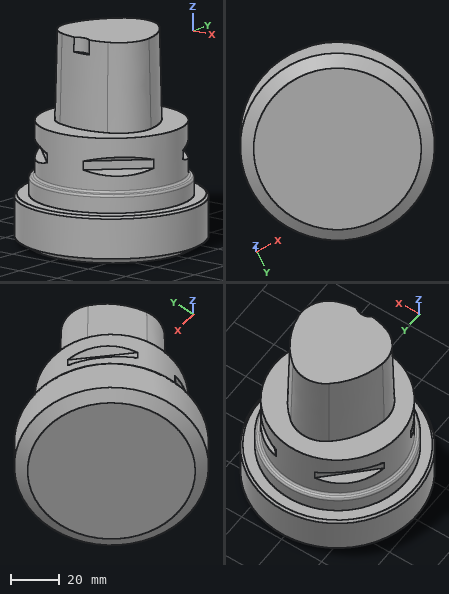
import cadquery as cq
import math

total_height = 90.0
flange_height = 21.0
neck_bottom_height = 30.0
shoulder_height = 52.0

flange_diameter = 79.7
flange_top_chamfer = 1.0
flange_bottom_chamfer_width = 5.5
flange_bottom_chamfer_angle = 30.0

collar_diameter = 68.0
collar_top_slope = 15.0
blend_radius = 1.0

neck_diameter = 63.0
slot_count = 4
slot_first_angle = 45.0
slot_center_height = 40.0
slot_depth = 3.5
slot_mouth_height = 8.0
slot_floor_height = 3.7

lobe_count = 3
shank_apex_reach = 23.4
shank_flat_reach = 20.5
lobe_radius = 15.0
shank_taper_ratio = 1 / 40

notch_radius = 6.0
notch_reach = 17.8
notch_depth = 6.2


def polar(radius, angle):
    """Point at the given radius and angle in degrees."""
    return (radius * math.cos(math.radians(angle)), radius * math.sin(math.radians(angle)))


def make_turned_body():
    """Flange, collar and neck as one revolved profile."""
    flange_r = flange_diameter / 2
    collar_r = collar_diameter / 2
    neck_r = neck_diameter / 2
    bottom_rise = flange_bottom_chamfer_width * math.tan(math.radians(flange_bottom_chamfer_angle))

    hollow_center = (neck_r + blend_radius, neck_bottom_height)
    round_center_r = collar_r - blend_radius

    def hollow_point(angle):
        dx, dz = polar(blend_radius, angle)
        return (hollow_center[0] + dx, hollow_center[1] + dz)

    cone_top = hollow_point(270 - collar_top_slope)
    cone_end_r = round_center_r + blend_radius * math.sin(math.radians(collar_top_slope))
    cone_drop = (cone_end_r - cone_top[0]) * math.tan(math.radians(collar_top_slope))
    cone_end = (cone_end_r, cone_top[1] - cone_drop)
    round_center_z = cone_end[1] - blend_radius * math.cos(math.radians(collar_top_slope))

    round_mid = polar(blend_radius, (90 - collar_top_slope) / 2)
    hollow_mid_angle = (180 + 270 - collar_top_slope) / 2

    profile = (
        cq.Workplane("XZ")
        .moveTo(0, 0)
        .lineTo(flange_r - flange_bottom_chamfer_width, 0)
        .lineTo(flange_r, bottom_rise)
        .lineTo(flange_r, flange_height - flange_top_chamfer)
        .lineTo(flange_r - flange_top_chamfer, flange_height)
        .lineTo(collar_r, flange_height)
        .lineTo(collar_r, round_center_z)
        .threePointArc((round_center_r + round_mid[0], round_center_z + round_mid[1]), cone_end)
        .lineTo(*cone_top)
        .threePointArc(hollow_point(hollow_mid_angle), (neck_r, neck_bottom_height))
        .lineTo(neck_r, shoulder_height)
        .lineTo(0, shoulder_height)
        .close()
    )
    return profile.revolve(360, (0, 0, 0), (0, 1, 0))


def add_shank_outline(workplane, inset):
    """Draw the polygon outline, offset inwards by inset, with a flat facing -Y."""
    apex = shank_apex_reach - inset
    flat = shank_flat_reach - inset
    lobe = lobe_radius - inset
    half_pitch = 180 / lobe_count

    lobe_x, lobe_y = polar(apex - lobe, half_pitch)
    run = flat - lobe_x
    flat_radius = (run**2 + lobe_y**2 - lobe**2) / (2 * (run - lobe))
    flat_center = flat - flat_radius
    normal_angle = math.atan2(lobe_y, lobe_x - flat_center)
    joint_x = flat_center + flat_radius * math.cos(normal_angle)
    joint_y = flat_radius * math.sin(normal_angle)
    joint_reach = math.hypot(joint_x, joint_y)
    joint_angle = math.degrees(math.atan2(joint_y, joint_x))

    first_flat_angle = -90
    outline = workplane.moveTo(*polar(joint_reach, first_flat_angle - joint_angle))
    for index in range(lobe_count):
        flat_angle = first_flat_angle + index * 2 * half_pitch
        next_flat_angle = flat_angle + 2 * half_pitch
        outline = outline.threePointArc(
            polar(flat, flat_angle), polar(joint_reach, flat_angle + joint_angle)
        ).threePointArc(
            polar(apex, flat_angle + half_pitch), polar(joint_reach, next_flat_angle - joint_angle)
        )
    return outline.close()


def make_shank():
    """Tapered polygon shank standing on the shoulder."""
    shank_length = total_height - shoulder_height
    base = add_shank_outline(cq.Workplane("XY").workplane(offset=shoulder_height), 0)
    both = add_shank_outline(base.workplane(offset=shank_length), shank_length * shank_taper_ratio)
    return both.loft(ruled=True)


def make_notch_cutter():
    """Upright cylinder that scoops the notch out of the -Y flat."""
    return (
        cq.Workplane("XY")
        .workplane(offset=total_height - notch_depth)
        .center(0, -(notch_reach + notch_radius))
        .circle(notch_radius)
        .extrude(notch_depth)
    )


def make_slot_cutter(angle):
    """Trapezoidal bar that cuts one gripper slot across the neck."""
    neck_r = neck_diameter / 2
    floor_r = neck_r - slot_depth
    half_floor = slot_floor_height / 2
    half_mouth = slot_mouth_height / 2
    section = [
        (floor_r, slot_center_height - half_floor),
        (neck_r, slot_center_height - half_mouth),
        (neck_r, slot_center_height + half_mouth),
        (floor_r, slot_center_height + half_floor),
    ]
    bar = cq.Workplane("XZ").polyline(section).close().extrude(neck_r, both=True)
    return bar.rotate((0, 0, 0), (0, 0, 1), angle)


result = make_turned_body().union(make_shank()).cut(make_notch_cutter())
for slot_index in range(slot_count):
    slot_angle = slot_first_angle + slot_index * 360 / slot_count
    result = result.cut(make_slot_cutter(slot_angle))